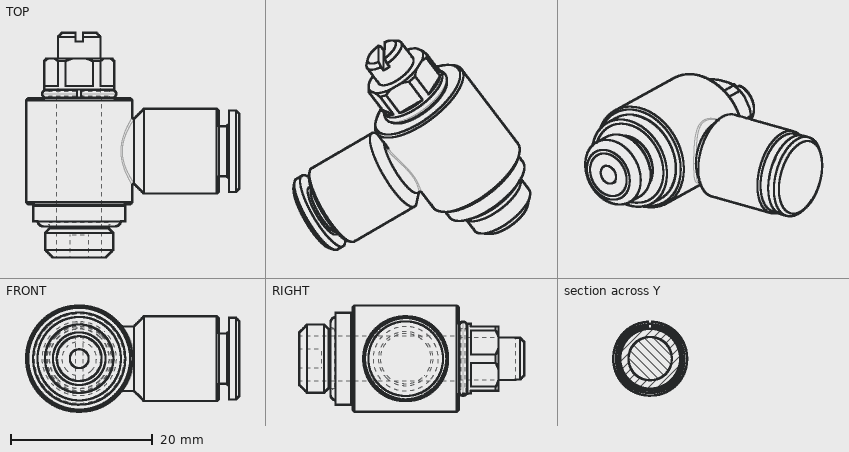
import cadquery as cq
import math


barrel_length = 15.0
barrel_radius = barrel_length / 2
barrel_end = barrel_length / 2
edge_chamfer = 0.32
shank_radius = 4.95

neck_radius = 4.57
neck_fillet = 0.25
port_radius = 6.0
port_cone_start = 7.7
port_cone_end = port_cone_start + port_radius - neck_radius
port_end = 19.7
sleeve_radius = 3.55
sleeve_flare = 0.3
flange_radius = 5.78
flange_start = 21.1
flange_end = 22.6
flange_chamfer = 0.5

stem_radius = 3.17
stem_end = barrel_end
stem_hole_radius = 1.33
stem_hole_depth = 3.17
screw_radius = 3.0
screw_chamfer = 0.6
screw_end = 16.73
tip_y = screw_end - 31.75
slot_width = 1.0
slot_depth = 1.25

hex_start = 9.2
hex_end = 13.1
hex_across_flats = 9.1
hex_chamfer_height = 0.32
hex_chamfer_width = 0.4

ring_center_y = 8.1
ring_center_radius = 4.7
ring_wire_radius = 0.55
ring_groove_start = 7.6
ring_groove_end = 8.7
ring_groove_radius = 4.25
ring_gap = 0.57

collar_radius = 6.5
collar_chamfer = 0.2
collar_end = -9.9
seal_center_y = -9.75
seal_center_radius = 5.0
seal_wire_radius = 0.9
undercut_radius = 4.2
undercut_end = -10.9
thread_radius = 4.82
thread_lead_in = thread_radius - undercut_radius
tip_radius = 3.7
tip_chamfer = 1.1


def disc(radius, y_low, y_high):
    """Cylinder on the Y axis from y_low to y_high."""
    return cq.Workplane("XZ", origin=(0, y_high, 0)).circle(radius).extrude(y_high - y_low)


def torus(center_radius, wire_radius, center_y):
    """Ring of round section about the Y axis."""
    section = cq.Workplane("XY").center(center_radius, center_y).circle(wire_radius)
    return section.revolve(360, (-center_radius, 0), (-center_radius, 1))


def make_port():
    """Cylinder and release sleeve beyond the neck, turned about the X axis."""
    profile = [
        (port_cone_start, 0),
        (port_cone_start, neck_radius),
        (port_cone_end, port_radius),
        (port_end - edge_chamfer, port_radius),
        (port_end, port_radius - edge_chamfer),
        (port_end, sleeve_radius),
        (flange_start - sleeve_flare, sleeve_radius),
        (flange_start, sleeve_radius + sleeve_flare),
        (flange_start, flange_radius),
        (flange_end - flange_chamfer, flange_radius),
        (flange_end, flange_radius - flange_chamfer),
        (flange_end, 0),
    ]
    return cq.Workplane("XY").polyline(profile).close().revolve(360, (0, 0), (1, 0))


def make_elbow():
    """Solid barrel, and the side port joined on by a filleted neck."""
    barrel = disc(barrel_radius, -barrel_end, barrel_end).faces("<Y or >Y").chamfer(edge_chamfer)
    neck = cq.Workplane("YZ").circle(neck_radius).extrude(port_end)
    joint = cq.selectors.BoxSelector((0.32, -neck_radius, -neck_radius), (port_cone_end, neck_radius, neck_radius))
    elbow = barrel.union(neck).edges(joint).edges("not (|X or |Y)").fillet(neck_fillet)
    return elbow.union(make_port())


def make_hexagon():
    """Hexagon with flats facing +Z and -Z, its corners turned round and its top edge chamfered."""
    across_corners = hex_across_flats / math.cos(math.radians(30))
    blank = cq.Workplane("XZ", origin=(0, hex_end, 0)).polygon(6, across_corners)
    blank = blank.extrude(hex_end - hex_start)
    turned = disc(shank_radius, hex_start, hex_end)
    turned = turned.faces(">Y").chamfer(hex_chamfer_width, hex_chamfer_height)
    return blank.intersect(turned)


def make_snap_ring():
    """Snap ring with its gap facing +Z."""
    ring = torus(ring_center_radius, ring_wire_radius, ring_center_y)
    outer_radius = ring_center_radius + ring_wire_radius
    gap = cq.Workplane("XY").box(ring_gap, 2 * ring_wire_radius, outer_radius, centered=(True, True, False))
    return ring.cut(gap.translate((0, ring_center_y, 0)))


def make_shank():
    """Turned part of the housing from the hexagon down to the threaded tip."""
    profile = [
        (0, hex_start),
        (shank_radius, hex_start),
        (shank_radius, ring_groove_end),
        (ring_groove_radius, ring_groove_end),
        (ring_groove_radius, ring_groove_start),
        (shank_radius, ring_groove_start),
        (shank_radius, -barrel_end),
        (collar_radius - collar_chamfer, -barrel_end),
        (collar_radius, -barrel_end - collar_chamfer),
        (collar_radius, collar_end),
        (undercut_radius, collar_end),
        (undercut_radius, undercut_end),
        (thread_radius, undercut_end - thread_lead_in),
        (thread_radius, tip_y + tip_chamfer),
        (tip_radius, tip_y),
        (0, tip_y),
    ]
    return cq.Workplane("XY").polyline(profile).close().revolve(360, (0, 0), (0, 1))


def make_core():
    """Stem with its blind hole, stepping down to a chamfered screw end with a driver slot along Z."""
    screw = disc(screw_radius, stem_end, screw_end).faces(">Y").chamfer(screw_chamfer)
    slot = cq.Workplane("XY").box(slot_width, 2 * slot_depth, 2 * screw_radius)
    screw = screw.cut(slot.translate((0, screw_end, 0)))
    core = disc(stem_radius, tip_y, stem_end).union(screw)
    return core.cut(disc(stem_hole_radius, tip_y, tip_y + stem_hole_depth))


def make_housing():
    """Elbow, shank, hexagon, snap ring and seal, bored through to fit the core."""
    housing = make_elbow().union(make_shank()).union(make_hexagon()).union(make_snap_ring())
    housing = housing.union(torus(seal_center_radius, seal_wire_radius, seal_center_y))
    housing = housing.cut(disc(stem_radius, tip_y, stem_end))
    return housing.cut(disc(screw_radius, stem_end, hex_end))


housing = make_housing()
core = make_core()
result = cq.Compound.makeCompound([housing.val(), core.val()])